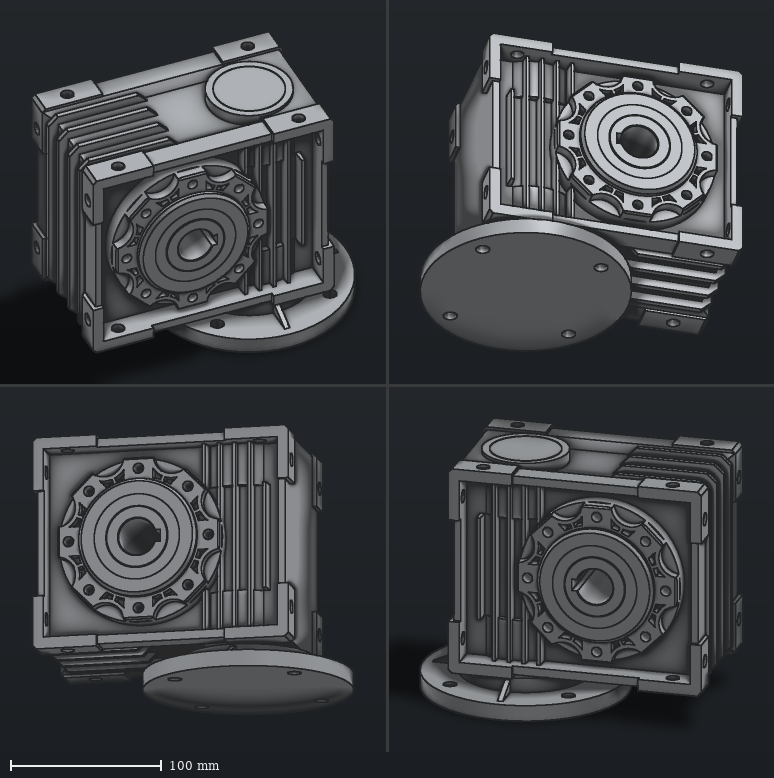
import cadquery as cq
import math

CENTRE_DISTANCE = 63.0

HOUSING_FRONT = -72.0
HOUSING_BACK = 102.0
HOUSING_HALF_HEIGHT = 72.0
HOUSING_HALF_WIDTH = 51.5
PAD_LENGTH = 43.6
PAD_HEIGHT = 36.2
PAD_CHAMFER = 2.5
RAIL_SETBACK_Y = 3.0
RAIL_SETBACK_Z = 2.0
RAIL_SETBACK_X = 3.0

CORE_HALF_WIDTH = 33.2
CHANNEL_HALF_WIDTH = 27.9
CHANNEL_FLOOR_Y = -64.5
CHANNEL_FLOOR_Z = 64.0
CHANNEL_BACK = HOUSING_BACK - PAD_LENGTH

FIN_THICKNESS = 3.6
FIN_OFFSETS = (-26.1, -9.0, 9.0, 26.1)
FIN_FRONT = -71.3
FIN_BACK = 0.0
FIN_HALF_HEIGHT = 70.3

RECESS_FRONT = -64.4
RECESS_BACK = 94.3
RECESS_HALF_HEIGHT = 64.0
COLLAR_RADIUS = 37.8
COLLAR_INNER_Z = HOUSING_HALF_HEIGHT - PAD_HEIGHT
RIB_PITCH = 10.3
RIB_BASE = 3.5
RIB_TIP = 2.1
RIB_TIP_X = 42.5

MOUNT_DIAMETER = 8.6
MOUNT_X = 42.3
MOUNT_FRONT_Y = -50.0
MOUNT_BACK_Y = 80.3
MOUNT_Z = 50.0

BOSS_RADIUS = 55.5
BOSS_X = 43.8
LOBE_COUNT = 8
LOBE_ANGLE = 360.0 / LOBE_COUNT
LOBE_X = 51.2
LOBE_FLAT = 55.0
LOBE_CHAMFER = 1.2
SCALLOP_RADIUS = 13.0
SCALLOP_CENTRE = 60.4
LOBE_HOLE_RADIUS = 3.4
LOBE_HOLE_CIRCLE = 47.5
LOBE_HOLE_DEPTH = 14.0
DRILL_POINT_ANGLE = 118.0
POCKET_INNER_RADIUS = 41.8
POCKET_WALL = 2.9
POCKET_HALF_WEB = 1.2
POCKET_LOBE_HALF_WIDTH = 9.9
HUB_RADIUS = 40.0
HUB_X = 56.0
HUB_CHAMFER = 2.2

SHAFT_RADIUS = 21.0
SHAFT_CHAMFER = 0.5
BORE_RADIUS = 12.5
KEY_WIDTH = 8.0
KEY_REACH = 15.8
SEAL_RADIUS = 29.0
SEAL_WIDTH = 8.0

WORM_BOSS_RADIUS = 29.2
WORM_RECESS_RADIUS = 24.0
WORM_RECESS_DEPTH = 0.3

FLANGE_RADIUS = 70.0
FLANGE_BOTTOM = -95.0
FLANGE_THICKNESS = 11.0
FLANGE_TOP = FLANGE_BOTTOM + FLANGE_THICKNESS
FLANGE_HUB_RADIUS = 44.5
FLANGE_HUB_TOP = -74.0
GUSSET_THICKNESS = 3.7
GUSSET_REACH = 63.5
GUSSET_TOP = -75.3
FLANGE_HOLE_DIAMETER = 9.0
FLANGE_HOLE_CIRCLE = 57.5
FLANGE_QUARTERS = 4
QUARTER_TURN = 360.0 / FLANGE_QUARTERS

SIDES = (-1, 1)


def block(x_range, y_range, z_range):
    """Box given by its limits along each axis."""
    sizes = [high - low for low, high in (x_range, y_range, z_range)]
    corner = (x_range[0], y_range[0], z_range[0])
    return cq.Workplane("XY").box(*sizes, centered=False).translate(corner)


def upright_cylinder(radius, bottom, top):
    """Cylinder on the vertical worm axis."""
    return cq.Workplane("XY", origin=(0, CENTRE_DISTANCE, bottom)).circle(radius).extrude(top - bottom)


def wheel_disc(radius, start, end):
    """Cylinder on the wheel axis, from X = start to X = end."""
    return cq.Workplane("YZ", origin=(start, 0, 0)).circle(radius).extrude(end - start)


def mirrored_pair(shape):
    """The shape on the +X side together with its mirror image on the -X side."""
    return shape.union(shape.mirror("YZ"))


def make_frame():
    """Full-width block with rails set back between eight corner pads."""
    half_x, half_z = HOUSING_HALF_WIDTH, HOUSING_HALF_HEIGHT
    frame = block((-half_x, half_x), (HOUSING_FRONT, HOUSING_BACK), (-half_z, half_z))
    frame = frame.edges("|X").chamfer(PAD_CHAMFER)

    rail_y = (HOUSING_FRONT + PAD_LENGTH, HOUSING_BACK - PAD_LENGTH)
    rail_z = (-COLLAR_INNER_Z, COLLAR_INNER_Z)
    rail_top = half_z - RAIL_SETBACK_Z
    rail_side = half_x - RAIL_SETBACK_X
    full_x = (-half_x, half_x)
    full_y = (HOUSING_FRONT, HOUSING_BACK)
    full_z = (-half_z, half_z)

    frame = frame.cut(block(full_x, rail_y, (rail_top, half_z)))
    frame = frame.cut(block(full_x, rail_y, (-half_z, -rail_top)))
    frame = frame.cut(block(full_x, (HOUSING_FRONT, HOUSING_FRONT + RAIL_SETBACK_Y), rail_z))
    frame = frame.cut(block(full_x, (HOUSING_BACK - RAIL_SETBACK_Y, HOUSING_BACK), rail_z))
    side_strip = block((rail_side, half_x), rail_y, full_z)
    side_strip = side_strip.union(block((rail_side, half_x), full_y, rail_z))
    return frame.cut(mirrored_pair(side_strip))


def make_core_channels():
    """Material removed between the side frames, leaving sloped channel walls."""
    rail_top = HOUSING_HALF_HEIGHT - RAIL_SETBACK_Z
    core_x = (-CORE_HALF_WIDTH, CORE_HALF_WIDTH)
    full_y = (HOUSING_FRONT, HOUSING_BACK)
    full_z = (-HOUSING_HALF_HEIGHT, HOUSING_HALF_HEIGHT)

    top = (
        cq.Workplane("XZ", origin=(0, CHANNEL_BACK, 0))
        .moveTo(-CHANNEL_HALF_WIDTH, CHANNEL_FLOOR_Z)
        .lineTo(CHANNEL_HALF_WIDTH, CHANNEL_FLOOR_Z)
        .lineTo(CORE_HALF_WIDTH, rail_top)
        .lineTo(-CORE_HALF_WIDTH, rail_top)
        .close()
        .extrude(CHANNEL_BACK - HOUSING_FRONT)
    )
    top = top.union(block(core_x, full_y, (rail_top, HOUSING_HALF_HEIGHT)))
    front = (
        cq.Workplane("XY", origin=(0, 0, -HOUSING_HALF_HEIGHT))
        .moveTo(-CHANNEL_HALF_WIDTH, CHANNEL_FLOOR_Y)
        .lineTo(CHANNEL_HALF_WIDTH, CHANNEL_FLOOR_Y)
        .lineTo(CORE_HALF_WIDTH, HOUSING_FRONT)
        .lineTo(-CORE_HALF_WIDTH, HOUSING_FRONT)
        .close()
        .extrude(2 * HOUSING_HALF_HEIGHT)
    )
    back = block(core_x, (HOUSING_BACK - RAIL_SETBACK_Y, HOUSING_BACK), full_z)
    return top.union(top.mirror("XY")).union(front).union(back)


def make_fin(x_centre):
    """Flat cooling fin with its corners beveled."""
    bevel_z = FIN_HALF_HEIGHT - CHANNEL_FLOOR_Z
    bevel_y = CHANNEL_FLOOR_Y - FIN_FRONT
    outline = [
        (FIN_BACK, CHANNEL_FLOOR_Z),
        (FIN_BACK - bevel_z, FIN_HALF_HEIGHT),
        (FIN_FRONT + bevel_y, FIN_HALF_HEIGHT),
        (FIN_FRONT, CHANNEL_FLOOR_Z),
    ]
    outline += [(y, -z) for y, z in reversed(outline)]
    plane = cq.Workplane("YZ", origin=(x_centre - FIN_THICKNESS / 2, 0, 0))
    return plane.polyline(outline).close().extrude(FIN_THICKNESS)


def make_recess_rib(y_centre, half_height):
    """Tapered upright rib on the floor of the +X recess."""
    return (
        cq.Workplane("XY", origin=(0, y_centre, -half_height))
        .moveTo(CORE_HALF_WIDTH, -RIB_BASE / 2)
        .lineTo(RIB_TIP_X, -RIB_TIP / 2)
        .lineTo(RIB_TIP_X, RIB_TIP / 2)
        .lineTo(CORE_HALF_WIDTH, RIB_BASE / 2)
        .close()
        .extrude(2 * half_height)
    )


def make_recess_details():
    """Ribs and the two worm collars standing in the +X recess."""
    details = make_recess_rib(CENTRE_DISTANCE + 2 * RIB_PITCH, COLLAR_INNER_Z)
    for step in (-2, -1, 0, 1):
        details = details.union(make_recess_rib(CENTRE_DISTANCE + step * RIB_PITCH, RECESS_HALF_HEIGHT))
    collar_bulge = block(
        (CORE_HALF_WIDTH, COLLAR_RADIUS),
        (CENTRE_DISTANCE - COLLAR_RADIUS, CENTRE_DISTANCE + COLLAR_RADIUS),
        (COLLAR_INNER_Z, RECESS_HALF_HEIGHT),
    )
    collar = upright_cylinder(COLLAR_RADIUS, COLLAR_INNER_Z, RECESS_HALF_HEIGHT).intersect(collar_bulge)
    return details.union(collar).union(collar.mirror("XY"))


def make_mounting_holes():
    """Drills through the pad walls; the pads above the flange have none on their underside."""
    wall_y = RAIL_SETBACK_Y + HOUSING_BACK - RECESS_BACK
    wall_z = RAIL_SETBACK_Z + HOUSING_HALF_HEIGHT - RECESS_HALF_HEIGHT
    radius = MOUNT_DIAMETER / 2
    drills = cq.Workplane("XY")
    for x in (-MOUNT_X, MOUNT_X):
        for y in (MOUNT_FRONT_Y, MOUNT_BACK_Y):
            drill = cq.Workplane("XY", origin=(x, y, HOUSING_HALF_HEIGHT)).circle(radius).extrude(-wall_z)
            drills = drills.add(drill)
        front_drill = cq.Workplane("XY", origin=(x, MOUNT_FRONT_Y, -HOUSING_HALF_HEIGHT))
        drills = drills.add(front_drill.circle(radius).extrude(wall_z))
        for z in (-MOUNT_Z, MOUNT_Z):
            front = cq.Workplane("XZ", origin=(x, HOUSING_FRONT, z)).circle(radius).extrude(-wall_y)
            back = cq.Workplane("XZ", origin=(x, HOUSING_BACK, z)).circle(radius).extrude(wall_y)
            drills = drills.add(front).add(back)
    return drills.combine()


def make_lightening_pockets():
    """Two small pockets between the hub and one scallop, split by a web along the +Y direction."""
    depth = LOBE_X - BOSS_X
    half_angle = math.radians(LOBE_ANGLE / 2)
    plane = cq.Workplane("YZ", origin=(BOSS_X, 0, 0))
    ring = plane.circle(BOSS_RADIUS).circle(POCKET_INNER_RADIUS).extrude(depth)
    far = 2 * BOSS_RADIUS
    start = POCKET_LOBE_HALF_WIDTH / math.sin(half_angle)
    web_start = start + POCKET_HALF_WEB / math.tan(half_angle)
    wedge = (
        plane.moveTo(web_start, POCKET_HALF_WEB)
        .lineTo(far, POCKET_HALF_WEB)
        .lineTo(far, (far - start) * math.tan(half_angle))
        .close()
        .extrude(depth)
    )
    scallop_wall = plane.center(SCALLOP_CENTRE, 0).circle(SCALLOP_RADIUS + POCKET_WALL).extrude(depth)
    pocket = ring.intersect(wedge).cut(scallop_wall)
    return pocket.union(pocket.mirror("XZ"))


def make_lobe_hole():
    """Blind hole with a drill point, in the lobe along +Y."""
    tip = LOBE_HOLE_RADIUS / math.tan(math.radians(DRILL_POINT_ANGLE / 2))
    floor = LOBE_X - LOBE_HOLE_DEPTH
    edge = LOBE_HOLE_CIRCLE + LOBE_HOLE_RADIUS
    return (
        cq.Workplane("XY")
        .moveTo(LOBE_X, LOBE_HOLE_CIRCLE)
        .lineTo(LOBE_X, edge)
        .lineTo(floor, edge)
        .lineTo(floor - tip, LOBE_HOLE_CIRCLE)
        .close()
        .revolve(360, (0, LOBE_HOLE_CIRCLE, 0), (1, LOBE_HOLE_CIRCLE, 0))
    )


def make_bearing_boss():
    """Bearing boss of the +X side with its scalloped, octagonal mounting face and hub."""
    depth = LOBE_X - BOSS_X
    octagon_diameter = 2 * LOBE_FLAT / math.cos(math.pi / LOBE_COUNT)
    face_plate = (
        cq.Workplane("YZ", origin=(BOSS_X, 0, 0))
        .polygon(LOBE_COUNT, octagon_diameter)
        .extrude(depth)
        .rotate((0, 0, 0), (1, 0, 0), LOBE_ANGLE / 2)
        .faces(">X")
        .chamfer(LOBE_CHAMFER)
        .intersect(wheel_disc(BOSS_RADIUS, BOSS_X, LOBE_X))
    )
    boss = wheel_disc(BOSS_RADIUS, CORE_HALF_WIDTH, BOSS_X).union(face_plate)

    scallop = (
        cq.Workplane("YZ", origin=(BOSS_X, SCALLOP_CENTRE, 0)).circle(SCALLOP_RADIUS).extrude(depth)
    )
    between_lobes = scallop.union(make_lightening_pockets())
    lobe_hole = make_lobe_hole()
    for index in range(LOBE_COUNT):
        angle = index * LOBE_ANGLE
        boss = boss.cut(between_lobes.rotate((0, 0, 0), (1, 0, 0), angle + LOBE_ANGLE / 2))
        boss = boss.cut(lobe_hole.rotate((0, 0, 0), (1, 0, 0), angle))

    hub = wheel_disc(HUB_RADIUS, BOSS_X, HUB_X).faces(">X").chamfer(HUB_CHAMFER)
    return boss.union(hub)


def make_shaft_tunnel():
    """Clearance through the housing for the shaft, with a seal seat at each end."""
    seat = wheel_disc(SEAL_RADIUS, HUB_X - SEAL_WIDTH, HUB_X)
    return wheel_disc(SHAFT_RADIUS, -HUB_X, HUB_X).union(mirrored_pair(seat))


def make_flange():
    """Round motor flange with a raised hub, four gussets and four bolt holes."""
    flange = upright_cylinder(FLANGE_RADIUS, FLANGE_BOTTOM, FLANGE_TOP)
    flange = flange.union(upright_cylinder(FLANGE_HUB_RADIUS, FLANGE_TOP, FLANGE_HUB_TOP))
    gusset = (
        cq.Workplane("XZ", origin=(0, CENTRE_DISTANCE + GUSSET_THICKNESS / 2, 0))
        .moveTo(0, FLANGE_TOP)
        .lineTo(GUSSET_REACH, FLANGE_TOP)
        .lineTo(FLANGE_HUB_RADIUS, GUSSET_TOP)
        .lineTo(0, GUSSET_TOP)
        .close()
        .extrude(GUSSET_THICKNESS)
    )
    worm_axis = ((0, CENTRE_DISTANCE, 0), (0, CENTRE_DISTANCE, 1))
    for quarter in range(FLANGE_QUARTERS):
        flange = flange.union(gusset.rotate(*worm_axis, QUARTER_TURN * quarter))
    holes = (
        cq.Workplane("XY", origin=(0, CENTRE_DISTANCE, FLANGE_BOTTOM))
        .polarArray(FLANGE_HOLE_CIRCLE, QUARTER_TURN / 2, 360, FLANGE_QUARTERS)
        .circle(FLANGE_HOLE_DIAMETER / 2)
        .extrude(FLANGE_THICKNESS)
    )
    return flange.cut(holes)


def make_housing():
    """Finned gear case with its bearing bosses and motor flange."""
    recess = block(
        (CORE_HALF_WIDTH, HOUSING_HALF_WIDTH),
        (RECESS_FRONT, RECESS_BACK),
        (-RECESS_HALF_HEIGHT, RECESS_HALF_HEIGHT),
    )
    housing = make_frame().cut(make_core_channels()).cut(mirrored_pair(recess))
    housing = housing.cut(make_mounting_holes())
    for x_centre in FIN_OFFSETS:
        housing = housing.union(make_fin(x_centre))
    housing = housing.union(mirrored_pair(make_recess_details().union(make_bearing_boss())))
    housing = housing.union(upright_cylinder(WORM_BOSS_RADIUS, FLANGE_HUB_TOP, HOUSING_HALF_HEIGHT))
    housing = housing.union(make_flange())
    housing = housing.cut(make_shaft_tunnel())
    boss_recess_floor = HOUSING_HALF_HEIGHT - WORM_RECESS_DEPTH
    return housing.cut(upright_cylinder(WORM_RECESS_RADIUS, boss_recess_floor, HOUSING_HALF_HEIGHT))


def make_seal(side):
    """Shaft seal, flush with the hub face on the given side (-1 or +1)."""
    outer_face = side * HUB_X
    inner_face = side * (HUB_X - SEAL_WIDTH)
    ring = wheel_disc(SEAL_RADIUS, inner_face, outer_face)
    return ring.cut(wheel_disc(SHAFT_RADIUS, inner_face, outer_face))


def make_shaft():
    """Hollow output shaft with beveled ends and a keyway on the +Y side of its bore."""
    shaft = (
        cq.Workplane("YZ", origin=(-HUB_X, 0, 0))
        .circle(SHAFT_RADIUS)
        .circle(BORE_RADIUS)
        .extrude(2 * HUB_X)
        .faces("<X or >X")
        .chamfer(SHAFT_CHAMFER)
    )
    return shaft.cut(block((-HUB_X, HUB_X), (0, KEY_REACH), (-KEY_WIDTH / 2, KEY_WIDTH / 2)))


housing = make_housing()
seals = [make_seal(side) for side in SIDES]
shaft = make_shaft()

result = cq.Compound.makeCompound([housing.val(), shaft.val(), *[seal.val() for seal in seals]])